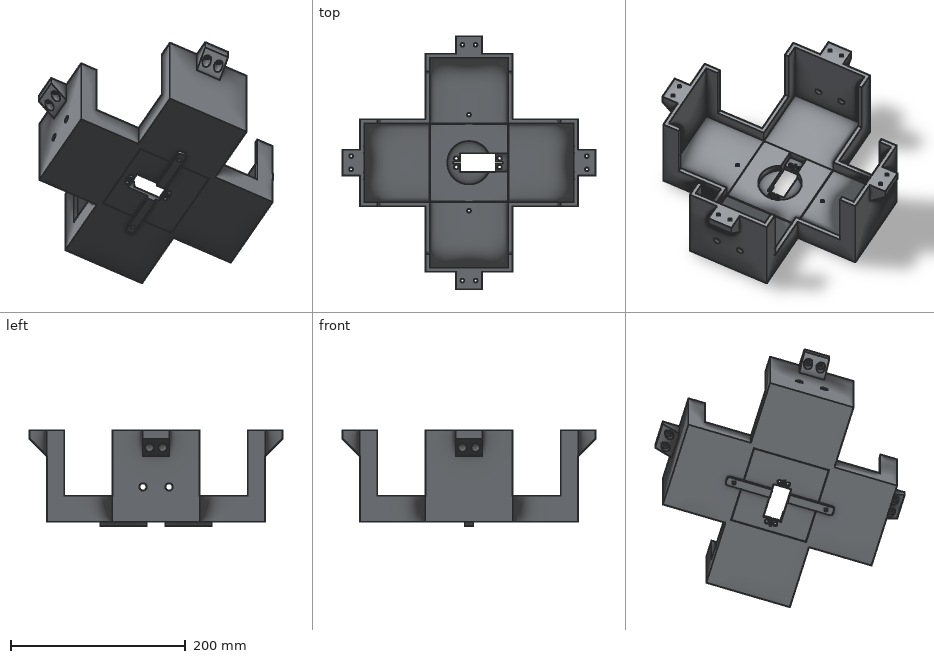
import cadquery as cq

span = 290.0
tab_length = 20.0
arm_span = span - 2 * tab_length
arm_width = 100.0
wall = 5.0
opening_side = arm_width - 2 * wall
body_height = 105.0
low_wall_height = 30.2
return_length = 20.0
floor_height = 15.0

tab_width = 30.0
tab_edge_height = 10.0
tab_root_height = tab_edge_height + tab_length
tab_hole_spacing = 15.0
tab_hole_diameter = 4.0
tab_bore_diameter = 10.0
tab_bore_roof = tab_edge_height

cable_hole_diameter = 8.0
cable_hole_spacing = 30.0
cable_hole_height = 40.0

plate_gap = 0.5
plate_rise = 0.5
plate_side = opening_side - 2 * plate_gap
plate_top = floor_height + plate_rise
recess_diameter = 50.0
recess_floor = 6.0

servo_center_x = 10.2
window_length = 41.0
window_width = 21.2
servo_hole_diameter = 5.0
servo_hole_pitch_x = 49.5
servo_hole_pitch_y = 10.0
slit_length = 56.8
slit_width = 2.0

strip_thickness = 5.0
strip_width = 10.0
strip_end = 64.0
strip_corner_radius = 3.0
strip_screw_diameter = 4.0
strip_screw_y = 55.0
strip_screw_points = [(0, -strip_screw_y), (0, strip_screw_y)]


def block(length, width, bottom, top, center_x=0):
    """Rectangular block between two heights, centred on Y = 0."""
    base = cq.Workplane("XY").workplane(offset=bottom).center(center_x, 0)
    return base.rect(length, width).extrude(top - bottom)


def cylinders(points, diameter, bottom, top):
    """Vertical cylinders at the given points."""
    base = cq.Workplane("XY").workplane(offset=bottom)
    return base.pushPoints(points).circle(diameter / 2).extrude(top - bottom)


def cross(length, width, bottom, top):
    """Two equal centred bars crossing at right angles."""
    return block(length, width, bottom, top).union(block(width, length, bottom, top))


def make_tab():
    """Mounting tab on the +X end wall, with two holes counterbored from below."""
    wall_x = arm_span / 2
    tip_x = span / 2
    profile = [
        (wall_x, body_height),
        (tip_x, body_height),
        (tip_x, body_height - tab_edge_height),
        (wall_x, body_height - tab_root_height),
    ]
    tab = cq.Workplane("XZ").polyline(profile).close().extrude(tab_width / 2, both=True)
    hole_x = (wall_x + tip_x) / 2
    hole_points = [(hole_x, side * tab_hole_spacing / 2) for side in (-1, 1)]
    tab = tab.cut(cylinders(hole_points, tab_hole_diameter, 0, body_height))
    return tab.cut(cylinders(hole_points, tab_bore_diameter, 0, body_height - tab_bore_roof))


def make_cable_holes():
    """Two cylinders along X that pierce both X end walls."""
    hole_points = [(side * cable_hole_spacing / 2, cable_hole_height) for side in (-1, 1)]
    base = cq.Workplane("YZ").pushPoints(hole_points)
    return base.circle(cable_hole_diameter / 2).extrude(span / 2, both=True)


def make_housing():
    """Open cross-shaped tray with four tabs and a square opening in its floor."""
    housing = cross(arm_span, arm_width, 0, body_height)
    housing = housing.cut(cross(arm_span - 2 * wall, opening_side, floor_height, body_height))
    housing = housing.cut(cross(arm_span - 2 * return_length, arm_width, low_wall_height, body_height))
    housing = housing.cut(block(opening_side, opening_side, 0, floor_height))
    housing = housing.cut(make_cable_holes())
    housing = housing.cut(cylinders(strip_screw_points, strip_screw_diameter, 0, floor_height))
    tab = make_tab()
    for quarter in range(4):
        housing = housing.union(tab.rotate((0, 0, 0), (0, 0, 1), 90 * quarter))
    return housing


def make_strips():
    """Screw strip under the plate, rounded at both ends."""
    strips = block(strip_width, 2 * strip_end, -strip_thickness, 0)
    strips = strips.edges("|Z").fillet(strip_corner_radius)
    return strips.cut(cylinders(strip_screw_points, strip_screw_diameter, -strip_thickness, 0))


def cut_servo_seat(plate):
    """Channel to the +X edge, servo window, cable slit and four screw holes."""
    channel_start = servo_center_x - window_length / 2
    channel_end = plate_side / 2
    channel_length = channel_end - channel_start
    channel_center = (channel_start + channel_end) / 2
    plate = plate.cut(block(channel_length, window_width, recess_floor, plate_top, channel_center))
    plate = plate.cut(block(window_length, window_width, -strip_thickness, plate_top, servo_center_x))
    plate = plate.cut(block(slit_length, slit_width, 0, plate_top, servo_center_x))
    hole_points = [
        (servo_center_x + x_side * servo_hole_pitch_x / 2, y_side * servo_hole_pitch_y / 2)
        for x_side in (-1, 1)
        for y_side in (-1, 1)
    ]
    return plate.cut(cylinders(hole_points, servo_hole_diameter, 0, plate_top))


def make_servo_plate():
    """Square plate with a round recess, a servo seat and the strips below."""
    plate = block(plate_side, plate_side, 0, plate_top).union(make_strips())
    plate = plate.cut(cylinders([(0, 0)], recess_diameter, recess_floor, plate_top))
    return cut_servo_seat(plate)


housing = make_housing()
servo_plate = make_servo_plate()
result = cq.Compound.makeCompound([housing.solids().val(), servo_plate.solids().val()])